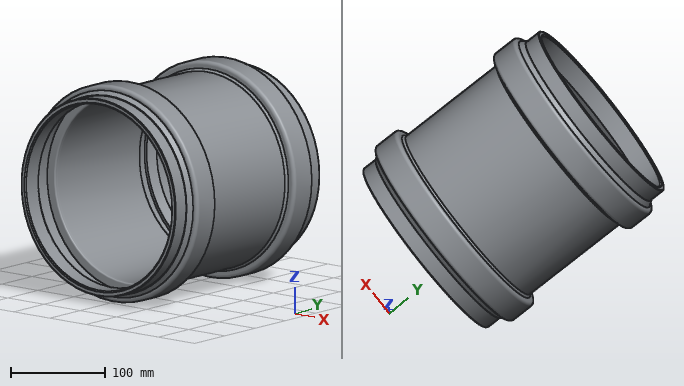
import cadquery as cq

length = 239.0
body_radius = 213.2 / 2
bore_radius = 201.5 / 2
lip_radius = 213.7 / 2
lip_bore_radius = 201.7 / 2
collar_radius = 234.7 / 2
groove_radius = 223.0 / 2

lip_outer_chamfer = 0.7
lip_inner_chamfer = 1.5

lip_length = 17.7
collar_start = 23.5
collar_end = 55.0
rear_cone_end = 57.5
groove_cone_start = 21.5
groove_start = 29.2
groove_end = 49.0

collar_fillet = 4.0
front_cone_small_radius = 107.5
front_cone_large_radius = 111.5
rear_cone_radius = 109.2
groove_round = 1.7
bore_lead_in = 2.9


def make_blank():
    """Revolve half of the outer outline about Y and mirror it to the other end."""
    end = -length / 2
    profile = (
        cq.Workplane("XY")
        .moveTo(0, end)
        .lineTo(lip_radius - lip_outer_chamfer, end)
        .lineTo(lip_radius, end + lip_outer_chamfer)
        .lineTo(lip_radius, end + lip_length)
        .lineTo(front_cone_small_radius, end + lip_length)
        .lineTo(front_cone_large_radius, end + collar_start)
        .lineTo(collar_radius - collar_fillet, end + collar_start)
        .radiusArc((collar_radius, end + collar_start + collar_fillet), -collar_fillet)
        .lineTo(collar_radius, end + collar_end - collar_fillet)
        .radiusArc((collar_radius - collar_fillet, end + collar_end), -collar_fillet)
        .lineTo(rear_cone_radius, end + collar_end)
        .lineTo(body_radius, end + rear_cone_end)
        .lineTo(body_radius, 0)
        .lineTo(0, 0)
        .close()
    )
    half = profile.revolve(360, (0, 0, 0), (0, 1, 0))
    return half.union(half.mirror("XZ"))


def make_cavity():
    """Revolve half of the bore with its seal groove and mirror it to the other end."""
    end = -length / 2
    groove_cone_radius = lip_bore_radius + groove_start - groove_cone_start
    round_end = groove_end + groove_round
    profile = (
        cq.Workplane("XY")
        .moveTo(0, end)
        .lineTo(lip_bore_radius + lip_inner_chamfer, end)
        .lineTo(lip_bore_radius, end + lip_inner_chamfer)
        .lineTo(lip_bore_radius, end + groove_cone_start)
        .lineTo(groove_cone_radius, end + groove_start)
        .lineTo(groove_radius, end + groove_start)
        .lineTo(groove_radius, end + groove_end)
        .lineTo(lip_bore_radius + groove_round, end + groove_end)
        .radiusArc((lip_bore_radius, end + round_end), groove_round)
        .lineTo(bore_radius, end + round_end + bore_lead_in)
        .lineTo(bore_radius, 0)
        .lineTo(0, 0)
        .close()
    )
    half = profile.revolve(360, (0, 0, 0), (0, 1, 0))
    return half.union(half.mirror("XZ"))


result = make_blank().cut(make_cavity())